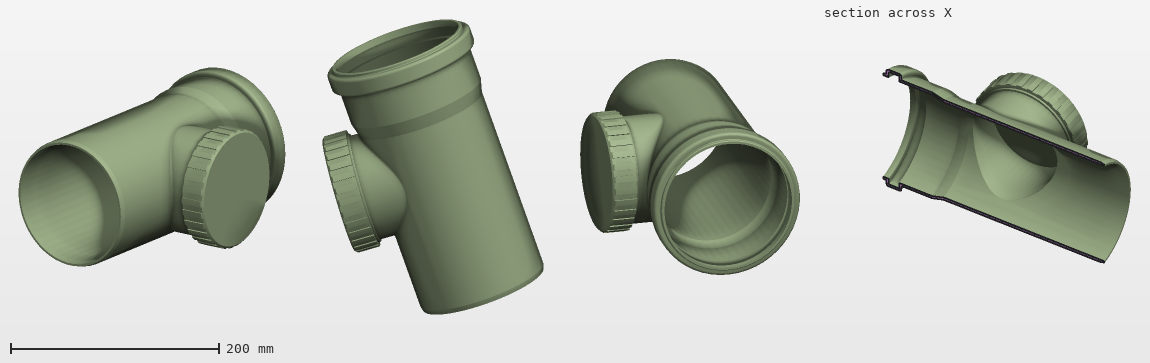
import cadquery as cq
import math

LENGTH = 254.0
WALL = 3.3
PIPE_R = 125.2 / 2
PIPE_BORE_R = PIPE_R - WALL
SPIGOT_CHAMFER_LENGTH = 4.8
SPIGOT_CHAMFER_DEPTH = 1.3

SOCKET_R = 132.0 / 2
SOCKET_WALL = 3.0
SOCKET_BORE_R = SOCKET_R - SOCKET_WALL
CONE_START = 184.5
CONE_END = 197.5
BEAD_R = 144.8 / 2
BEAD_START = 232.7
BEAD_END = 250.5
BEAD_FILLET = 3.0
BEAD_ROOT_FILLET = 0.8
MOUTH_CHAMFER = 0.8
GROOVE_R = BEAD_R - SOCKET_WALL

BRANCH_Y = 128.8
BRANCH_LEAN = math.radians(2.5)
BRANCH_R = 103.6 / 2
BRANCH_BORE_R = 96.8 / 2
BRANCH_FILLET = 2.0
COLLAR_R = 108.0 / 2
COLLAR_THICKNESS = 2.3

CAP_START = 76.5
CAP_LENGTH = 24.1
CAP_END_WALL = 3.3
CAP_BORE_R = 104.0 / 2
CAP_GROOVE_R = 114.0 / 2
CAP_RIB_R = 116.3 / 2
CAP_CHAMFER = 2.5
RIB_COUNT = 30

BRANCH_END = CAP_START + CAP_LENGTH - CAP_END_WALL

EDGE_TOLERANCE = 0.03


def branch_plane(distance):
    """Plane square to the branch axis, at a distance from the pipe axis."""
    axis = cq.Vector(math.cos(BRANCH_LEAN), math.sin(BRANCH_LEAN), 0)
    across = cq.Vector(math.sin(BRANCH_LEAN), -math.cos(BRANCH_LEAN), 0)
    origin = cq.Vector(0, BRANCH_Y, 0) + axis * distance
    return cq.Plane(origin=origin, xDir=across, normal=axis)


def branch_cylinder(radius, start, end):
    return cq.Workplane(branch_plane(start)).circle(radius).extrude(end - start)


def turned_about_y(points):
    """Solid of revolution about the Y axis from (radius, y) points."""
    return cq.Workplane("XY").polyline(points).close().revolve(360, (0, 0), (0, 1))


def y_ring(radius, start, end):
    return turned_about_y([(0, start), (radius, start), (radius, end), (0, end)])


def is_bead_root(edge):
    """True for the two circles where the bead meets the socket."""
    on_socket = abs(edge.radius() - SOCKET_R) < EDGE_TOLERANCE
    y = edge.Center().y
    at_bead = min(abs(y - BEAD_START), abs(y - BEAD_END)) < EDGE_TOLERANCE
    return on_socket and at_bead


def pipe_outside():
    tube = turned_about_y([
        (0, 0),
        (PIPE_R - SPIGOT_CHAMFER_DEPTH, 0),
        (PIPE_R, SPIGOT_CHAMFER_LENGTH),
        (PIPE_R, CONE_START),
        (SOCKET_R, CONE_END),
        (SOCKET_R, LENGTH - MOUTH_CHAMFER),
        (SOCKET_R - MOUTH_CHAMFER, LENGTH),
        (0, LENGTH),
    ])
    bead = y_ring(BEAD_R, BEAD_START, BEAD_END).edges().fillet(BEAD_FILLET)
    outside = tube.union(bead)
    return outside.edges("%CIRCLE").filter(is_bead_root).fillet(BEAD_ROOT_FILLET)


def pipe_bore():
    bore = turned_about_y([
        (0, 0),
        (PIPE_BORE_R, 0),
        (PIPE_BORE_R, CONE_START),
        (SOCKET_BORE_R, CONE_END),
        (SOCKET_BORE_R, LENGTH),
        (0, LENGTH),
    ])
    seal_groove = y_ring(GROOVE_R, BEAD_START + SOCKET_WALL, BEAD_END - SOCKET_WALL)
    return bore.union(seal_groove)


def branch_root():
    """Edge selector for the line where the branch meets the pipe."""
    return cq.selectors.BoxSelector(
        (0, BRANCH_Y - COLLAR_R, -COLLAR_R),
        (PIPE_R, BRANCH_Y + COLLAR_R, COLLAR_R),
    )


def make_fitting():
    branch = branch_cylinder(BRANCH_R, 0, BRANCH_END)
    collar = branch_cylinder(COLLAR_R, CAP_START - COLLAR_THICKNESS, CAP_START)
    outside = pipe_outside().union(branch)
    outside = outside.edges(branch_root()).fillet(BRANCH_FILLET)
    outside = outside.union(collar)
    return outside.cut(pipe_bore()).cut(branch_cylinder(BRANCH_BORE_R, 0, BRANCH_END))


def ribbed_outline(plane):
    """Closed outline of equal ribs and grooves, all bounded by arcs; one rib faces local X."""
    half_width = math.pi / (2 * RIB_COUNT)

    def at(radius, angle):
        return (radius * math.cos(angle), radius * math.sin(angle))

    outline = cq.Workplane(plane).moveTo(*at(CAP_RIB_R, -half_width))
    for rib in range(RIB_COUNT):
        middle = 4 * half_width * rib
        groove_middle = middle + 2 * half_width
        outline = outline.threePointArc(at(CAP_RIB_R, middle), at(CAP_RIB_R, middle + half_width))
        outline = outline.lineTo(*at(CAP_GROOVE_R, groove_middle - half_width))
        outline = outline.threePointArc(
            at(CAP_GROOVE_R, groove_middle), at(CAP_GROOVE_R, groove_middle + half_width)
        )
        outline = outline.lineTo(*at(CAP_RIB_R, groove_middle + half_width))
    return outline.close()


def make_cap():
    ribbed = ribbed_outline(branch_plane(CAP_START)).extrude(CAP_LENGTH)
    envelope = branch_cylinder(CAP_RIB_R, CAP_START, CAP_START + CAP_LENGTH)
    envelope = envelope.faces(">X").chamfer(CAP_CHAMFER)
    return ribbed.intersect(envelope).cut(branch_cylinder(CAP_BORE_R, CAP_START, BRANCH_END))


fitting = make_fitting()
cap = make_cap()
result = cq.Compound.makeCompound([fitting.val(), cap.val()])